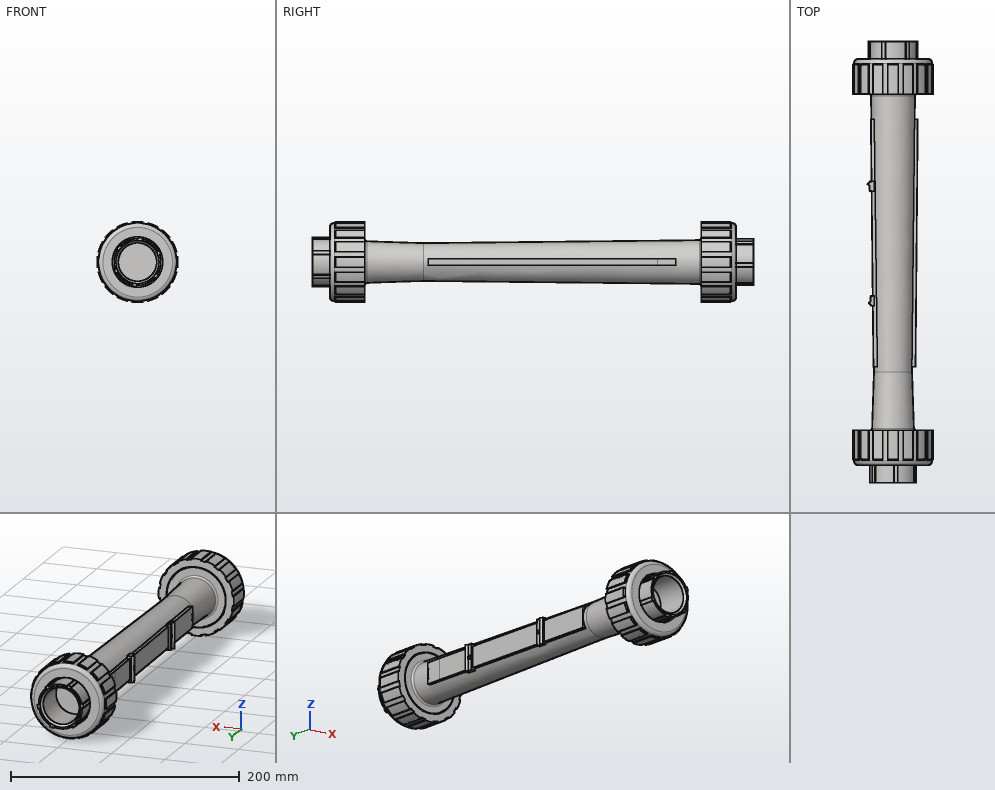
import cadquery as cq
import math


LENGTH = 386.08
END_Y = LENGTH / 2

SOCKET_DIA = 40.89
BORE_MOUTH_DIA = 37.72
BORE_DIA = 33.53
BORE_DEPTH = 34.0
RIB_CIRCLE_DIA = 43.0
RIB_WIDTH = 3.5
RIB_COUNT = 6
FRONT_RIB_ANGLE = 23.0
BACK_RIB_ANGLE = -7.0

NUT_SETBACK = 15.3
NUT_LENGTH = 30.8
NUT_DIA = 70.62
RIM_DIA = 68.5
RIM_HOLE_DIA = 44.15
RIM_HOLE_DEPTH = 5.0
RIM_FILLET = 3.8
PANEL_START = 4.2
PANEL_SLOPE_LENGTH = 1.2
GROOVE_COUNT = 16
GROOVE_WIDTH = 4.6
NUT_OPENING_DIA = 55.63
FLANGE_DIA = 54.66
GAP_DEPTH = 3.0

BACK_TUBE_DIA = 38.7
FRONT_TUBE_DIA = 36.8
THROAT_DIA = 33.53
THROAT_Y = END_Y - 288.9
COLLAR_FILLET = 1.7
NUT_FACE_Y = END_Y - NUT_SETBACK - NUT_LENGTH

LEFT_PLATE_WIDTH = 19.6
RIGHT_PLATE_WIDTH = 6.0
PLATE_BACK_Y = END_Y - 68.0
PLATE_LEVEL_END_Y = END_Y - 84.5
PLATE_FRONT_Y = END_Y - 284.8
LEFT_PLATE_BACK_X = -19.3
LEFT_PLATE_FRONT_X = -17.2
RIGHT_PLATE_BACK_X = 21.6
RIGHT_PLATE_FRONT_X = 19.8
PLATE_ROOT_X = 10.0

MARKER_LENGTH = 8.6
MARKER_HEIGHT = 24.0
MARKER_INNER_X = -16.3
MARKER_RISE = 1.6
RIDGE_RISE = 3.5
RIDGE_INSET = 2.4
RIDGE_HALF_WIDTH = 1.8
BACK_MARKER_Y = END_Y - 126.7
FRONT_MARKER_Y = END_Y - 227.0
PIN_DIA = 3.4
PIN_RISE = 0.4
PIN_OFFSET = 1.6


def cylinder(dia, start_y, length):
    """Cylinder on the Y axis running from start_y toward +Y."""
    plane = cq.Workplane("XZ", origin=(0, start_y, 0))
    return plane.circle(dia / 2).extrude(-length)


def revolve_profile(profile):
    """Revolve a closed (radius, y) profile wire about the Y axis."""
    return profile.close().revolve(360, (0, 0, 0), (0, 1, 0))


def spoke(angle, width, start_y, length, reach):
    """Radial bar from the axis outward, at an angle measured from +X toward +Z."""
    bar = cq.Workplane("XY").box(reach, length, width, centered=(False, False, True))
    return bar.translate((0, start_y, 0)).rotate((0, 0, 0), (0, 1, 0), -angle)


def socket_body(rib_angle):
    """Ribbed pipe socket at the +Y end."""
    length = NUT_SETBACK + NUT_LENGTH / 2
    start_y = END_Y - length
    bars = cq.Workplane("XY")
    for i in range(RIB_COUNT):
        angle = rib_angle + i * 360 / RIB_COUNT
        bars = bars.union(spoke(angle, RIB_WIDTH, start_y, length, RIB_CIRCLE_DIA))
    ribs = bars.intersect(cylinder(RIB_CIRCLE_DIA, start_y, length))
    return cylinder(SOCKET_DIA, start_y, length).union(ribs)


def socket_bore():
    """Blind bore of the socket at the +Y end, with a chamfered mouth."""
    bore = cylinder(BORE_DIA, END_Y - BORE_DEPTH, BORE_DEPTH)
    lead_in = (BORE_MOUTH_DIA - BORE_DIA) / 2
    mouth = revolve_profile(
        cq.Workplane("XY")
        .moveTo(0, END_Y)
        .lineTo(BORE_MOUTH_DIA / 2, END_Y)
        .lineTo(BORE_DIA / 2, END_Y - lead_in)
        .lineTo(0, END_Y - lead_in)
    )
    return bore.union(mouth)


def nut():
    """Union nut at the +Y end: rounded rim, grip panels split by grooves, flange gap."""
    rim_y = NUT_FACE_Y + NUT_LENGTH
    core = cylinder(RIM_DIA, NUT_FACE_Y, NUT_LENGTH).faces(">Y").edges().fillet(RIM_FILLET)

    panel_top_y = rim_y - PANEL_START
    panel_root = NUT_OPENING_DIA / 2
    panels = revolve_profile(
        cq.Workplane("XY")
        .moveTo(panel_root, NUT_FACE_Y)
        .lineTo(NUT_DIA / 2, NUT_FACE_Y)
        .lineTo(NUT_DIA / 2, panel_top_y - PANEL_SLOPE_LENGTH)
        .lineTo(RIM_DIA / 2, panel_top_y)
        .lineTo(panel_root, panel_top_y)
    )
    pitch = 360 / GROOVE_COUNT
    for i in range(GROOVE_COUNT):
        panels = panels.cut(spoke((i + 0.5) * pitch, GROOVE_WIDTH, NUT_FACE_Y, NUT_LENGTH, NUT_DIA))

    gap = cylinder(NUT_OPENING_DIA, NUT_FACE_Y, GAP_DEPTH).cut(cylinder(FLANGE_DIA, NUT_FACE_Y, GAP_DEPTH))
    rim_hole = cylinder(RIM_HOLE_DIA, rim_y - RIM_HOLE_DEPTH, RIM_HOLE_DEPTH)
    return core.union(panels).cut(gap).cut(rim_hole)


def tube_half(tube_dia, throat_y):
    """Cone from the throat out to the nut at the +Y end, flared by a fillet onto the nut face."""
    radius = tube_dia / 2
    overlap_y = NUT_FACE_Y + GAP_DEPTH
    flare = COLLAR_FILLET
    arc_middle = flare * (1 - math.sqrt(0.5))
    return revolve_profile(
        cq.Workplane("XY")
        .moveTo(0, throat_y)
        .lineTo(THROAT_DIA / 2, throat_y)
        .lineTo(radius, NUT_FACE_Y - flare)
        .threePointArc(
            (radius + arc_middle, NUT_FACE_Y - arc_middle),
            (radius + flare, NUT_FACE_Y),
        )
        .lineTo(radius + flare, overlap_y)
        .lineTo(0, overlap_y)
    )


def plate(back_x, front_x, width):
    """Scale plate whose outer face is level at back_x, then slopes down to front_x."""
    root_x = math.copysign(PLATE_ROOT_X, back_x)
    outline = [
        (root_x, PLATE_BACK_Y),
        (back_x, PLATE_BACK_Y),
        (back_x, PLATE_LEVEL_END_Y),
        (front_x, PLATE_FRONT_Y),
        (root_x, PLATE_FRONT_Y),
    ]
    return cq.Workplane("XY").polyline(outline).close().extrude(width / 2, both=True)


def plate_face_x(y):
    """X of the -X plate's sloping outer face at a given y."""
    fraction = (PLATE_LEVEL_END_Y - y) / (PLATE_LEVEL_END_Y - PLATE_FRONT_Y)
    return LEFT_PLATE_BACK_X + fraction * (LEFT_PLATE_FRONT_X - LEFT_PLATE_BACK_X)


def marker(y, ridge_side):
    """Marker block with a pointed ridge near its ridge_side (+1 or -1) end and a small pin."""
    face_x = plate_face_x(y)
    outer_x = face_x - MARKER_RISE
    end_y = y + ridge_side * MARKER_LENGTH / 2
    ridge_y = end_y - ridge_side * RIDGE_INSET
    outline = [
        (MARKER_INNER_X, end_y),
        (outer_x, end_y),
        (outer_x, ridge_y + ridge_side * RIDGE_HALF_WIDTH),
        (face_x - RIDGE_RISE, ridge_y),
        (outer_x, ridge_y - ridge_side * RIDGE_HALF_WIDTH),
        (outer_x, end_y - ridge_side * MARKER_LENGTH),
        (MARKER_INNER_X, end_y - ridge_side * MARKER_LENGTH),
    ]
    block = cq.Workplane("XY").polyline(outline).close().extrude(MARKER_HEIGHT / 2, both=True)
    pin_plane = cq.Workplane("YZ", origin=(outer_x, y - ridge_side * PIN_OFFSET, 0))
    pin = pin_plane.circle(PIN_DIA / 2).extrude(-PIN_RISE)
    return block.union(pin)


def at_front(shape):
    """Mirror a shape built at the +Y end to the -Y end."""
    return shape.mirror("XZ")


tube = tube_half(BACK_TUBE_DIA, THROAT_Y).union(at_front(tube_half(FRONT_TUBE_DIA, -THROAT_Y)))
left_plate = plate(LEFT_PLATE_BACK_X, LEFT_PLATE_FRONT_X, LEFT_PLATE_WIDTH)
right_plate = plate(RIGHT_PLATE_BACK_X, RIGHT_PLATE_FRONT_X, RIGHT_PLATE_WIDTH)

result = (
    tube.union(left_plate)
    .union(right_plate)
    .union(marker(BACK_MARKER_Y, 1))
    .union(marker(FRONT_MARKER_Y, -1))
    .union(nut())
    .union(at_front(nut()))
    .union(socket_body(BACK_RIB_ANGLE))
    .union(at_front(socket_body(FRONT_RIB_ANGLE)))
    .cut(socket_bore())
    .cut(at_front(socket_bore()))
)